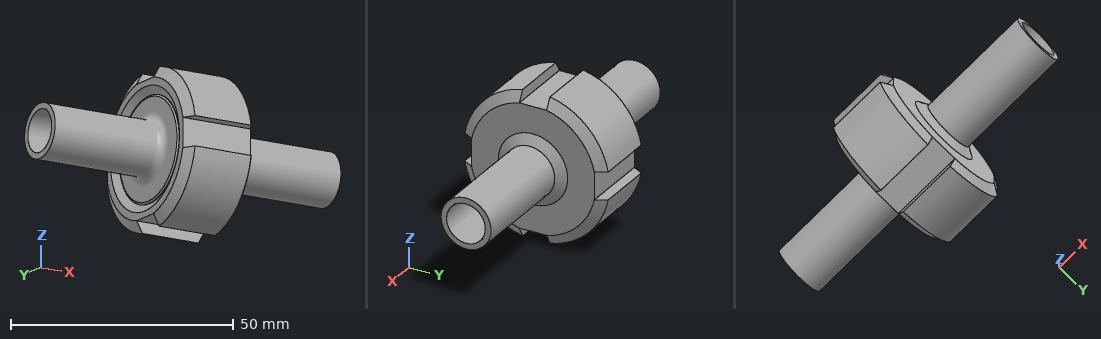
import cadquery as cq
import math

total_length = 76.0
tube_radius = 13.0 / 2
bore_radius = 10.0 / 2

nut_start = 28.0
nut_end = 46.0
nut_radius = 19.0
nut_face_radius = 16.35
slot_width = 7.1
slot_floor = 15.95
slot_count = 4
mouth_radius = 14.5
end_wall = 3.05
cone_slope = math.tan(math.radians(30))

flange_radius = 25.15 / 2
flange_start = 28.8
flange_chamfer = 0.45
root_fillet = 2.0

boss_radius = 18.0 / 2
boss_end = nut_end

joint = nut_end - end_wall
centre_x = total_length / 2


def revolve_about_x(profile):
    """Turn a closed (x, radius) profile about the X axis and centre its length."""
    return profile.close().revolve(360, (0, 0, 0), (1, 0, 0)).translate((-centre_x, 0, 0))


def make_nut():
    edge_run = (nut_radius - nut_face_radius) * cone_slope
    mouth_depth = (mouth_radius - flange_radius) * cone_slope
    body = revolve_about_x(
        cq.Workplane("XY")
        .moveTo(nut_start, mouth_radius)
        .lineTo(nut_start, nut_face_radius)
        .lineTo(nut_start + edge_run, nut_radius)
        .lineTo(nut_end - edge_run, nut_radius)
        .lineTo(nut_end, nut_face_radius)
        .lineTo(nut_end, boss_radius)
        .lineTo(joint, boss_radius)
        .lineTo(joint, flange_radius)
        .lineTo(nut_start + mouth_depth, flange_radius)
    )
    slot = cq.Workplane("XY").box(
        total_length, slot_width, nut_radius, centered=(True, True, False)
    ).translate((0, 0, slot_floor))
    for index in range(slot_count):
        body = body.cut(slot.rotate((0, 0, 0), (1, 0, 0), index * 360 / slot_count))
    return body


def make_flanged_tube():
    fillet_start = flange_start - root_fillet
    fillet_top = tube_radius + root_fillet
    fillet_middle = (
        fillet_start + root_fillet * math.sin(math.radians(45)),
        fillet_top - root_fillet * math.cos(math.radians(45)),
    )
    return revolve_about_x(
        cq.Workplane("XY")
        .moveTo(0, bore_radius)
        .lineTo(0, tube_radius)
        .lineTo(fillet_start, tube_radius)
        .threePointArc(fillet_middle, (flange_start, fillet_top))
        .lineTo(flange_start, flange_radius - flange_chamfer)
        .lineTo(flange_start + flange_chamfer, flange_radius)
        .lineTo(joint, flange_radius)
        .lineTo(joint, bore_radius)
    )


def make_boss_tube():
    cone_end = boss_end + (boss_radius - tube_radius) * cone_slope
    return revolve_about_x(
        cq.Workplane("XY")
        .moveTo(joint, bore_radius)
        .lineTo(joint, boss_radius)
        .lineTo(boss_end, boss_radius)
        .lineTo(cone_end, tube_radius)
        .lineTo(total_length, tube_radius)
        .lineTo(total_length, bore_radius)
    )


nut = make_nut()
flanged_tube = make_flanged_tube()
boss_tube = make_boss_tube()

result = cq.Compound.makeCompound([nut.val(), flanged_tube.val(), boss_tube.val()])